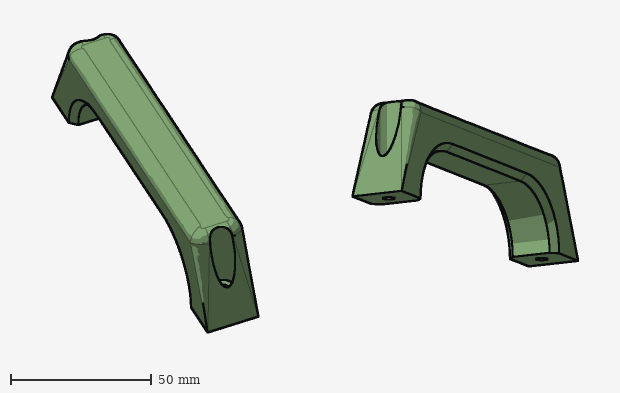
import cadquery as cq
import math

length = 134.0
width = 20.0
height = 36.5
end_slope_angle = 17.1
top_fillet = 5.0

base_corner_radius = 0.07
top_corner_radius = 5.9

opening_length = 100.0
opening_height = 22.0
rim_bevel = 2.5

hole_spacing = 116.0
hole_diameter = 4.2
counterbore_diameter = 9.0
counterbore_floor = 10.0

top_length = length - 2 * height * math.tan(math.radians(end_slope_angle))


def make_body():
    """Tapered bar with widening end corners and a rounded top rim."""
    base = cq.Sketch().rect(length, width).vertices().fillet(base_corner_radius)
    top = cq.Sketch().rect(top_length, width).vertices().fillet(top_corner_radius)
    top_location = cq.Location(cq.Vector(0, 0, height))
    body = cq.Workplane("XY").placeSketch(base, top.moved(top_location)).loft(ruled=True)
    return body.faces(">Z").edges().fillet(top_fillet)


def arch_outline(y, growth):
    """Arch with quarter-round shoulders, drawn at y and enlarged by growth."""
    half_length = opening_length / 2 + growth
    radius = opening_height + growth
    straight = half_length - radius
    diagonal = radius * math.sqrt(0.5)
    return (
        cq.Workplane("XZ", origin=(0, y, 0))
        .moveTo(-half_length, 0)
        .threePointArc((-straight - diagonal, diagonal), (-straight, radius))
        .lineTo(straight, radius)
        .threePointArc((straight + diagonal, diagonal), (half_length, 0))
        .close()
    )


def make_opening():
    """Through opening that flares outward by the bevel at both sides."""
    opening = arch_outline(width / 2, 0).extrude(width)
    for side in (-1, 1):
        outer = arch_outline(side * width / 2, rim_bevel).val()
        inner = arch_outline(side * (width / 2 - rim_bevel), 0).val()
        flare = cq.Solid.makeLoft([outer, inner], True)
        opening = opening.union(cq.Workplane(flare))
    return opening


def make_mounting_holes():
    """Vertical through holes with counterbores open at the top."""
    centers = [(-hole_spacing / 2, 0), (hole_spacing / 2, 0)]
    holes = cq.Workplane("XY").pushPoints(centers).circle(hole_diameter / 2).extrude(height)
    counterbores = (
        cq.Workplane("XY", origin=(0, 0, counterbore_floor))
        .pushPoints(centers)
        .circle(counterbore_diameter / 2)
        .extrude(height - counterbore_floor)
    )
    return holes.union(counterbores)


result = make_body().cut(make_opening()).cut(make_mounting_holes())